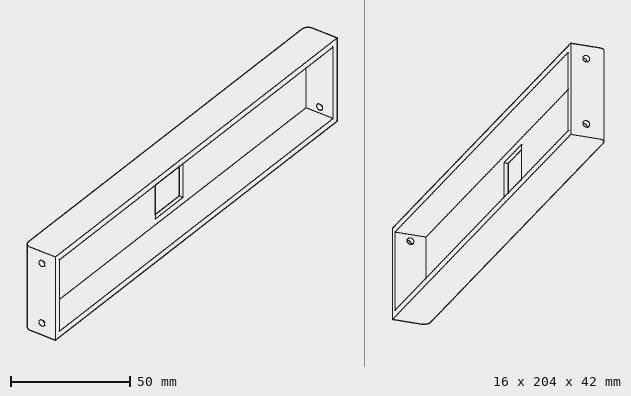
import cadquery as cq

depth = 16.0
length = 204.0
height = 42.0
corner_radius = 3.0

face_wall = 2.0
rim_wall = 3.0

window_length = 20.0
window_height = 30.0

hole_diameter = 3.0
hole_from_face = 9.0
hole_spacing = 30.0


def make_body():
    """Solid block with its two upright face edges rounded."""
    block = cq.Workplane("XY").box(depth, length, height)
    return block.edges("|Z and <X").fillet(corner_radius)


def make_cavity():
    """Rectangular hollow behind the face, open on the +X side."""
    inner_depth = depth - face_wall
    inner_length = length - 2 * rim_wall
    inner_height = height - 2 * rim_wall
    cavity = cq.Workplane("XY").box(inner_depth, inner_length, inner_height)
    return cavity.translate((face_wall / 2, 0, 0))


def make_window():
    """Rectangular cutter along X, centred on the face."""
    return cq.Workplane("XY").box(depth, window_length, window_height)


def make_end_holes():
    """Upper and lower drills running along Y through both end walls."""
    hole_x = hole_from_face - depth / 2
    centres = [(hole_x, side * hole_spacing / 2) for side in (-1, 1)]
    drills = cq.Workplane("XZ").pushPoints(centres).circle(hole_diameter / 2)
    return drills.extrude(length / 2, both=True)


result = make_body().cut(make_cavity()).cut(make_window()).cut(make_end_holes())